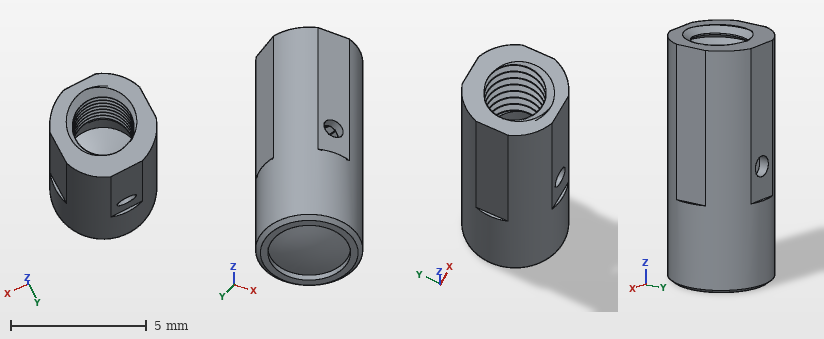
import cadquery as cq
import math

total_height = 9.4
body_diameter = 3.96
plug_protrusion = 0.04
body_radius = body_diameter / 2
housing_bottom_z = plug_protrusion

chamfer_width = 0.18
chamfer_height = 0.14
flat_span = 3.73
flats_bottom_z = 3.41
cross_hole_diameter = 0.8
cross_hole_z = total_height / 2

bore_radius = 1.14
thread_major_radius = 1.5
thread_pitch = 0.45
groove_mouth = 0.395
thread_turns = 9
thread_bottom_z = 5.83
bore_run_out = 0.47
overlap = 0.05

plug_radius = 1.52
dome_radius = 4.23
dome_height = dome_radius - math.sqrt(dome_radius**2 - plug_radius**2)
plug_top_z = flats_bottom_z


def make_groove():
    """V-shaped helical cutter, deepest on the -Y side where it meets the top face."""
    length = thread_turns * thread_pitch
    depth = thread_major_radius - bore_radius
    half_mouth = groove_mouth / 2
    inner_half_mouth = half_mouth * (depth + overlap) / depth
    inner_radius = bore_radius - overlap
    helix = cq.Wire.makeHelix(thread_pitch, length, bore_radius)
    groove = (
        cq.Workplane("XZ")
        .moveTo(inner_radius, -inner_half_mouth)
        .lineTo(thread_major_radius, 0)
        .lineTo(inner_radius, inner_half_mouth)
        .close()
        .sweep(cq.Workplane(obj=helix), isFrenet=True)
    )
    start_z = total_height + thread_pitch - length
    return groove.rotate((0, 0, 0), (0, 0, 1), -90).translate((0, 0, start_z))


def make_flats_envelope():
    """Square prism whose sides are the four flats."""
    height = total_height - flats_bottom_z
    return (
        cq.Workplane("XY", origin=(0, 0, flats_bottom_z))
        .rect(flat_span, flat_span)
        .extrude(height)
    )


def make_plug():
    """Round plug, tip to tip from z = 0, with a shallow dome on each end."""
    half_chord = plug_radius / 2
    dome_mid_height = dome_radius - math.sqrt(dome_radius**2 - half_chord**2)
    return (
        cq.Workplane("YZ")
        .moveTo(0, 0)
        .threePointArc((half_chord, dome_mid_height), (plug_radius, dome_height))
        .lineTo(plug_radius, plug_top_z - dome_height)
        .threePointArc((half_chord, plug_top_z - dome_mid_height), (0, plug_top_z))
        .close()
        .revolve(360, (0, 0), (0, 1))
    )


def make_housing():
    blank = (
        cq.Workplane("XZ")
        .moveTo(0, housing_bottom_z)
        .lineTo(body_radius - chamfer_width, housing_bottom_z)
        .lineTo(body_radius, housing_bottom_z + chamfer_height)
        .lineTo(body_radius, flats_bottom_z)
        .lineTo(0, flats_bottom_z)
        .close()
        .revolve(360, (0, 0), (0, 1))
    )
    upper = (
        cq.Workplane("XY", origin=(0, 0, flats_bottom_z))
        .circle(body_radius)
        .extrude(total_height - flats_bottom_z)
        .intersect(make_flats_envelope())
    )
    housing = blank.union(upper)

    minor_bore = (
        cq.Workplane("XY", origin=(0, 0, -bore_run_out))
        .circle(bore_radius)
        .extrude(total_height + 2 * bore_run_out)
    )
    lower_bore = cq.Workplane("XY").circle(plug_radius).extrude(thread_bottom_z)
    cross_hole = (
        cq.Workplane("XZ", origin=(0, 0, cross_hole_z))
        .circle(cross_hole_diameter / 2)
        .extrude(body_radius, both=True)
    )
    threaded = housing.cut(make_groove())
    return threaded.cut(minor_bore).cut(lower_bore).cut(cross_hole)


housing = make_housing()
plug = make_plug()
result = cq.Compound.makeCompound([housing.solids().val(), plug.val()])